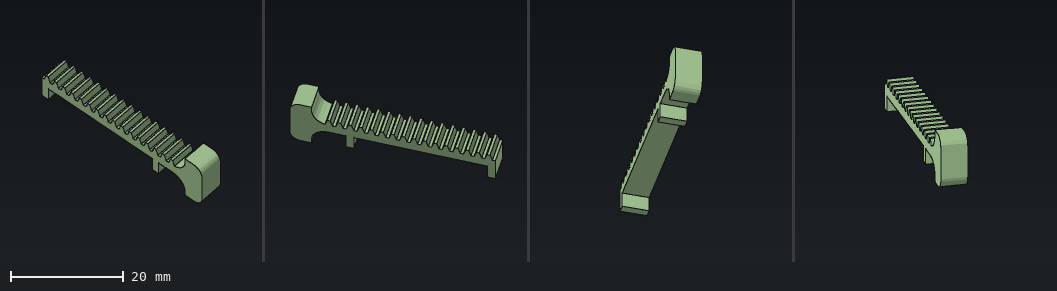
import cadquery as cq

length = 37.92
width = 5.0
head_height = 10.0

bar_thickness = 2.0
bar_bottom = (head_height - bar_thickness) / 2
bar_top = bar_bottom + bar_thickness

head_thickness = 4.05
head_corner_radius = 2.0
neck_radius = 3.0
corner_margin = 0.38
head_start = length - head_thickness

leg_thickness = 1.5
leg_bottom = 1.0
second_leg_start = 26.1

tooth_count = 16
first_tooth_center = 1.25
last_tooth_center = 30.7
tooth_pitch = (last_tooth_center - first_tooth_center) / (tooth_count - 1)
tooth_height = 1.25
tooth_root_width = 1.4
tooth_tip_width = 0.53
tooth_overlap = 0.38


def block(x_start, x_end, z_start, z_end):
    """Full-width block between the given X and Z limits."""
    return cq.Workplane("XY").box(
        x_end - x_start, width, z_end - z_start, centered=(False, True, False)
    ).translate((x_start, 0, z_start))


def make_bar_and_head():
    """T-shaped body with concave necks and rounded outer head corners."""
    bar = block(0, length, bar_bottom, bar_top)
    head = block(head_start, length, 0, head_height)
    head = head.edges("|Y and >X").fillet(head_corner_radius)
    body = bar.union(head)
    neck_corners = cq.selectors.BoxSelector(
        (head_start - corner_margin, -width, bar_bottom - corner_margin),
        (head_start + corner_margin, width, bar_top + corner_margin),
    )
    return body.edges("|Y").edges(neck_corners).fillet(neck_radius)


def make_leg(x_start):
    return block(x_start, x_start + leg_thickness, leg_bottom, bar_top)


def make_tooth(center):
    """Trapezoidal rack tooth spanning the full width."""
    half_root = tooth_root_width / 2
    half_tip = tooth_tip_width / 2
    return (
        cq.Workplane("XZ")
        .moveTo(center - half_root, bar_top - tooth_overlap)
        .lineTo(center - half_root, bar_top)
        .lineTo(center - half_tip, bar_top + tooth_height)
        .lineTo(center + half_tip, bar_top + tooth_height)
        .lineTo(center + half_root, bar_top)
        .lineTo(center + half_root, bar_top - tooth_overlap)
        .close()
        .extrude(width / 2, both=True)
    )


result = make_bar_and_head()
for leg_start in (0, second_leg_start):
    result = result.union(make_leg(leg_start))
for index in range(tooth_count):
    result = result.union(make_tooth(first_tooth_center + index * tooth_pitch))
result = result.clean()